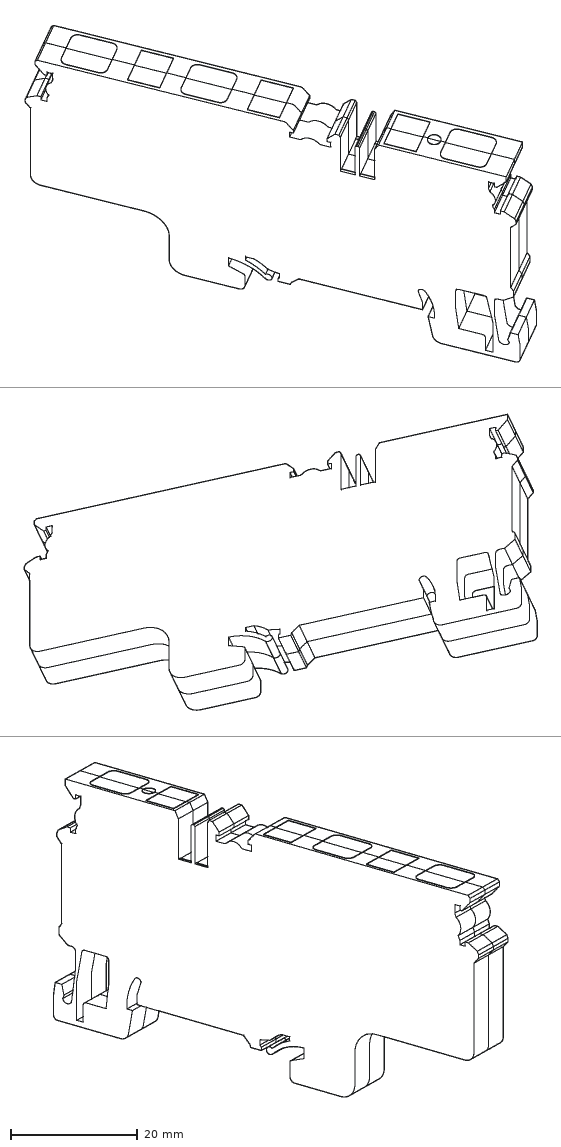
import cadquery as cq
HEIGHT = 42.2
THICKNESS = 8.0
HALF_THICKNESS = THICKNESS / 2
FLANK_X = 40.2
SHELF_Z = 13.5
BELLY_Z = 6.7
LOWER_LEFT_X = -17.0

BROW_X = 39.4
BROW_CORNER = 0.4
BROW_FACE_Z = 41.0
BROW_TIP_Z = 39.2
BROW_TIP_X = 37.45
NOTCH_ROOF_Z = 39.9
NOTCH_WALL_X = 36.45
SADDLE_X = 37.6
SADDLE_Z = 36.3
LEDGE_Z = 34.0
LEDGE_GROOVE_Z = 33.2
LEDGE_GROOVE_X = 38.45
LEDGE_X = 41.1
LEDGE_FACE_TOP_Z = 32.4
LEDGE_FACE_BOTTOM_Z = 31.8
LEDGE_ROOT_Z = 30.7

SHELF_CORNER_RADIUS = 1.7
BUMP_X = 40.7
BUMP_TOP_Z = 16.9
BUMP_FACE_TOP_Z = 16.2
BUMP_FACE_BOTTOM_Z = 14.9
BUMP_HEEL_X = 38.9

MARKER_X = 6.6
MARKER_MOUTH = 4.15
MARKER_LIP = 2.8
MARKER_POCKET = 3.44
MARKER_LIP_TOP = 1.5
MARKER_LIP_BOTTOM = 2.15
MARKER_MOUTH_RADIUS = 0.7
MARKER_FLOOR = 3.2
MARKER_BULGE = 1.6
MARKER_BULGE_HEIGHT = 0.8
MARKER_BULGE_FILLET = 0.6

SLOT_LEFT_X = 11.7
SLOT_RIGHT_X = 17.4
SLOT_FLOOR_Z = 34.0
SLOT_LEFT_BEVEL = (0.25, 0.4)
SLOT_RIGHT_BEVEL = (0.7, 1.25)
BLADE_THICKNESS = 0.75
BLADE_TOP_Z = 40.7
BLADE_TIP_CHAMFER = 0.25

FOOT_BOTTOM_Z = 1.0
FOOT_RIGHT_X = -4.3
FOOT_HEEL_RADIUS = 2.7
FOOT_TOE_RADIUS = 1.0
LOWER_FILLET_RADIUS = 4.2
JAW_X = -7.05
JAW_FLOOR_Z = 5.7
JAW_LIP_Z = 4.6
JAW_LIP_RADIUS = 0.4

TONGUE_ROOT_Z = 7.5
TONGUE_TOP_X = -4.2
TONGUE_TOP_Z = 8.0
TONGUE_TIP_X = -0.4
TONGUE_TIP_Z = 5.4
TONGUE_TIP_RADIUS = 0.7
TONGUE_GAP_ROOF_Z = 8.8
CLAW_LEFT_X = 1.5
CLAW_TIP_X = 1.25
CLAW_BOTTOM_Z = 5.0
CLAW_RIGHT_X = 3.5
CLAW_RUNOUT_X = 4.7

STEM_LEFT_X = 27.4
HEEL_X = 26.35
HEEL_Z = 5.5
SPRING_FOOT_RIGHT_X = 41.75
HOOK_TOP_Z = 6.5
LEG_OUTER_X = 37.45
SLIT_LEFT_X = 25.4
WINDOW_LEFT_X = 31.0
WINDOW_RIGHT_X = 37.2
WINDOW_LEDGE_Z = 4.5
WINDOW_SLOT_X = 35.95
WINDOW_CORNER_RADIUS = 0.6

RECESS_DEPTH = 0.1
RECESS_WIDTH = 6.8
TERMINAL_PITCH = 20.05
OUTER_TERMINAL_X = 31.7
TOOL_OFFSET = 10.3
WIRE_LENGTH = 7.7
WIRE_CORNER_RADIUS = 1.2
TOOL_LENGTH = 5.4
TEST_MARK_X = 26.0
TEST_MARK_DIAMETER = 2.15
SLOT_RECESS_WIDTH = 7.0


def profile():
    """A sketch plane in XZ, at the outer face of the full thickness."""
    return cq.Workplane("XZ", origin=(0, HALF_THICKNESS, 0))


def prism(points):
    """A closed polygon in XZ, extruded through the full thickness."""
    return profile().polyline(points).close().extrude(THICKNESS)


def slab(x_min, x_max, z_min, z_max):
    """A rectangle in XZ, extruded through the full thickness."""
    return prism([(x_min, z_min), (x_max, z_min), (x_max, z_max), (x_min, z_max)])


def near(x, z, reach=0.2):
    """Selects the edge along Y that passes through (x, z)."""
    return cq.selectors.BoxSelector(
        (x - reach, -THICKNESS, z - reach), (x + reach, THICKNESS, z + reach)
    )


def end_half():
    """Right half of the main block, with the latch profile at its end."""
    ledge_shoulder = (LEDGE_X - 0.25, LEDGE_FACE_TOP_Z + 0.6)
    ledge_crest_x = LEDGE_GROOVE_X + 0.7
    groove_wall_x = LEDGE_GROOVE_X - 1.0
    saddle_bottom = (groove_wall_x - 0.3, LEDGE_Z + 0.75)
    saddle_top = (NOTCH_WALL_X + 0.25, NOTCH_ROOF_Z - 2.15)
    notch_wall_bottom_z = NOTCH_ROOF_Z - 1.5
    brow_tip_flat_x = BROW_TIP_X + 0.4
    return (
        profile()
        .moveTo(0, SHELF_Z)
        .lineTo(FLANK_X, SHELF_Z)
        .lineTo(FLANK_X, LEDGE_ROOT_Z)
        .lineTo(LEDGE_X, LEDGE_FACE_BOTTOM_Z)
        .lineTo(LEDGE_X, LEDGE_FACE_TOP_Z)
        .lineTo(*ledge_shoulder)
        .lineTo(ledge_crest_x, LEDGE_Z)
        .lineTo(LEDGE_GROOVE_X, LEDGE_Z)
        .lineTo(LEDGE_GROOVE_X, LEDGE_GROOVE_Z)
        .lineTo(groove_wall_x, LEDGE_GROOVE_Z)
        .lineTo(groove_wall_x, LEDGE_Z)
        .lineTo(*saddle_bottom)
        .threePointArc((SADDLE_X, SADDLE_Z), saddle_top)
        .lineTo(NOTCH_WALL_X, notch_wall_bottom_z)
        .lineTo(NOTCH_WALL_X, NOTCH_ROOF_Z)
        .lineTo(BROW_TIP_X, NOTCH_ROOF_Z)
        .lineTo(BROW_TIP_X, BROW_TIP_Z)
        .lineTo(brow_tip_flat_x, BROW_TIP_Z)
        .lineTo(BROW_X, BROW_FACE_Z)
        .lineTo(BROW_X, HEIGHT)
        .lineTo(0, HEIGHT)
        .close()
        .extrude(THICKNESS)
    )


def main_block():
    """Both ends, with softened corners at the left and a bump at the right lower corner."""
    right = end_half()
    block = right.union(right.mirror("YZ"))
    block = block.edges(near(-FLANK_X, SHELF_Z)).fillet(SHELF_CORNER_RADIUS)
    block = block.edges(near(-BROW_X, HEIGHT)).chamfer(BROW_CORNER)
    bump = prism([
        (BUMP_HEEL_X, BUMP_TOP_Z),
        (BUMP_HEEL_X, SHELF_Z),
        (BUMP_X, BUMP_FACE_BOTTOM_Z),
        (BUMP_X, BUMP_FACE_TOP_Z),
        (FLANK_X, BUMP_TOP_Z),
    ])
    corner = slab(BUMP_HEEL_X, FLANK_X, SHELF_Z, BUMP_TOP_Z)
    return block.cut(corner).union(bump)


def marker_latch():
    """Undercut notch in the top face, with a rounded rib on its floor."""
    floor_z = HEIGHT - MARKER_FLOOR
    lip_bottom_z = HEIGHT - MARKER_LIP_BOTTOM
    lip_top_z = HEIGHT - MARKER_LIP_TOP
    notch = (
        profile()
        .moveTo(MARKER_X - MARKER_MOUTH, HEIGHT)
        .lineTo(MARKER_X - MARKER_LIP, lip_top_z)
        .lineTo(MARKER_X - MARKER_LIP, lip_bottom_z)
        .lineTo(MARKER_X - MARKER_POCKET, lip_bottom_z)
        .lineTo(MARKER_X - MARKER_POCKET, floor_z)
        .lineTo(MARKER_X - MARKER_BULGE, floor_z)
        .threePointArc(
            (MARKER_X, floor_z + MARKER_BULGE_HEIGHT), (MARKER_X + MARKER_BULGE, floor_z)
        )
        .lineTo(MARKER_X + MARKER_POCKET, floor_z)
        .lineTo(MARKER_X + MARKER_POCKET, lip_bottom_z)
        .lineTo(MARKER_X + MARKER_LIP, lip_bottom_z)
        .lineTo(MARKER_X + MARKER_LIP, lip_top_z)
        .lineTo(MARKER_X + MARKER_MOUTH, HEIGHT)
        .close()
        .extrude(THICKNESS)
    )
    for x in (MARKER_X - MARKER_BULGE, MARKER_X + MARKER_BULGE):
        notch = notch.edges(near(x, floor_z)).fillet(MARKER_BULGE_FILLET)
    return notch


def contact_slot():
    """Slot in the top face, bevelled at its mouth."""
    left_run, left_drop = SLOT_LEFT_BEVEL
    right_run, right_drop = SLOT_RIGHT_BEVEL
    return prism([
        (SLOT_LEFT_X - left_run, HEIGHT),
        (SLOT_LEFT_X, HEIGHT - left_drop),
        (SLOT_LEFT_X, SLOT_FLOOR_Z),
        (SLOT_RIGHT_X, SLOT_FLOOR_Z),
        (SLOT_RIGHT_X, HEIGHT - right_drop),
        (SLOT_RIGHT_X + right_run, HEIGHT),
    ])


def contact_blade():
    """Thin wall in the middle of the contact slot."""
    middle = (SLOT_LEFT_X + SLOT_RIGHT_X) / 2
    half = BLADE_THICKNESS / 2
    blade = slab(middle - half, middle + half, SLOT_FLOOR_Z, BLADE_TOP_Z)
    return blade.edges(">Z and |Y").chamfer(BLADE_TIP_CHAMFER)


def lower_block():
    """Block under the shelf together with the fixed foot and its jaw."""
    block = slab(LOWER_LEFT_X, STEM_LEFT_X, BELLY_Z, SHELF_Z)
    foot = slab(LOWER_LEFT_X, FOOT_RIGHT_X, FOOT_BOTTOM_Z, SHELF_Z)
    foot = foot.edges(near(LOWER_LEFT_X, FOOT_BOTTOM_Z)).fillet(FOOT_HEEL_RADIUS)
    foot = foot.edges(near(FOOT_RIGHT_X, FOOT_BOTTOM_Z)).fillet(FOOT_TOE_RADIUS)
    gap_mouth = (CLAW_LEFT_X, BELLY_Z + 0.1)
    gap_bend = (-0.5, 7.2)
    gap_arc_middle = (-1.6, 8.1)
    gap_arc_end = (-2.8, TONGUE_GAP_ROOF_Z)
    jaw = (
        profile()
        .moveTo(JAW_X, TONGUE_ROOT_Z)
        .lineTo(JAW_X, JAW_FLOOR_Z)
        .lineTo(FOOT_RIGHT_X, JAW_LIP_Z)
        .lineTo(CLAW_LEFT_X, JAW_LIP_Z)
        .lineTo(*gap_mouth)
        .lineTo(*gap_bend)
        .threePointArc(gap_arc_middle, gap_arc_end)
        .lineTo(TONGUE_TOP_X, TONGUE_GAP_ROOF_Z)
        .lineTo(TONGUE_TOP_X, TONGUE_TOP_Z)
        .close()
        .extrude(THICKNESS)
    )
    lower = block.union(foot).cut(jaw)
    return lower.edges(near(FOOT_RIGHT_X, JAW_LIP_Z)).fillet(JAW_LIP_RADIUS)


def tongue():
    """Curved spring tongue with a round tip, hanging into the jaw."""
    under_middle = (-3.15, 6.55)
    under_end = (TONGUE_TIP_X - 0.5, TONGUE_TIP_Z - 0.5)
    over_start = (TONGUE_TIP_X - 0.4, TONGUE_TIP_Z + 0.5)
    over_middle = (-2.4, 7.1)
    strip = (
        profile()
        .moveTo(JAW_X, TONGUE_ROOT_Z)
        .threePointArc(under_middle, under_end)
        .lineTo(TONGUE_TIP_X, TONGUE_TIP_Z)
        .lineTo(*over_start)
        .threePointArc(over_middle, (TONGUE_TOP_X, TONGUE_TOP_Z))
        .close()
        .extrude(THICKNESS)
    )
    tip = profile().center(TONGUE_TIP_X, TONGUE_TIP_Z).circle(TONGUE_TIP_RADIUS).extrude(THICKNESS)
    return strip.union(tip)


def claw():
    """Small claw under the belly, beside the tip of the tongue."""
    neck_z = CLAW_BOTTOM_Z + 0.9
    tip_z = CLAW_BOTTOM_Z + 0.6
    heel_z = CLAW_BOTTOM_Z + 0.5
    sole_x = CLAW_RIGHT_X - 0.2
    return prism([
        (CLAW_LEFT_X, BELLY_Z),
        (CLAW_LEFT_X, neck_z),
        (CLAW_TIP_X, tip_z),
        (CLAW_TIP_X, CLAW_BOTTOM_Z),
        (sole_x, CLAW_BOTTOM_Z),
        (CLAW_RIGHT_X, heel_z),
        (CLAW_RUNOUT_X, BELLY_Z),
    ])


def spring_foot():
    """Stem, heel, sole, hook and thin leg of the spring foot."""
    heel_arc = [(HEEL_X + 0.75, 1.3), (HEEL_X + 1.25, 0.4), (HEEL_X + 2.15, 0)]
    toe_arc = [
        (SPRING_FOOT_RIGHT_X - 0.75, 0),
        (SPRING_FOOT_RIGHT_X - 0.25, 0.25),
        (SPRING_FOOT_RIGHT_X, 0.75),
    ]
    hook_back_z = HOOK_TOP_Z - 2.3
    hook_top_right = (SPRING_FOOT_RIGHT_X - 0.3, HOOK_TOP_Z)
    hook_top_left = (SPRING_FOOT_RIGHT_X - 1.65, HOOK_TOP_Z)
    hook_nose = (39.7, 4.7)
    groove_right, groove_bottom, groove_left = (39.9, 4.1), (39.1, 3.4), (38.2, 4.1)
    leg_bend_z = 9.8
    leg_arc = [
        (LEG_OUTER_X, SHELF_Z - 0.7),
        (LEG_OUTER_X + 0.2, SHELF_Z - 0.25),
        (LEG_OUTER_X + 0.7, SHELF_Z),
    ]
    return (
        profile()
        .moveTo(STEM_LEFT_X, SHELF_Z)
        .lineTo(STEM_LEFT_X, HEEL_Z)
        .lineTo(HEEL_X, HEEL_Z)
        .lineTo(*heel_arc[0])
        .threePointArc(*heel_arc[1:])
        .lineTo(*toe_arc[0])
        .threePointArc(*toe_arc[1:])
        .lineTo(SPRING_FOOT_RIGHT_X, hook_back_z)
        .lineTo(*hook_top_right)
        .lineTo(*hook_top_left)
        .lineTo(*hook_nose)
        .lineTo(*groove_right)
        .threePointArc(groove_bottom, groove_left)
        .lineTo(LEG_OUTER_X, leg_bend_z)
        .lineTo(*leg_arc[0])
        .threePointArc(*leg_arc[1:])
        .close()
        .extrude(THICKNESS)
    )


def slit():
    """Curved slit between the lower block and the stem of the spring foot."""
    straight_end_z = 8.45
    crown_left, crown_top, crown_right = (24.7, 10.8), (25.3, 11.35), (25.9, 11.0)
    stem_side_middle = (26.9, 9.0)
    return (
        profile()
        .moveTo(STEM_LEFT_X, BELLY_Z)
        .lineTo(SLIT_LEFT_X, BELLY_Z)
        .lineTo(SLIT_LEFT_X, straight_end_z)
        .lineTo(*crown_left)
        .threePointArc(crown_top, crown_right)
        .threePointArc(stem_side_middle, (STEM_LEFT_X, BELLY_Z))
        .close()
        .extrude(THICKNESS)
    )


def foot_window():
    """Opening inside the spring foot, with a narrow slot running down from it."""
    left_bend_z = 8.9
    right_bend_z = 7.8
    ledge_left_x = WINDOW_LEFT_X + 0.5
    top_right_x = WINDOW_RIGHT_X - 1.1
    window = prism([
        (WINDOW_LEFT_X, SHELF_Z),
        (WINDOW_LEFT_X, left_bend_z),
        (ledge_left_x, WINDOW_LEDGE_Z),
        (WINDOW_SLOT_X, WINDOW_LEDGE_Z),
        (WINDOW_SLOT_X, FOOT_BOTTOM_Z),
        (WINDOW_RIGHT_X, FOOT_BOTTOM_Z),
        (WINDOW_RIGHT_X, right_bend_z),
        (top_right_x, SHELF_Z),
    ])
    rounded = [(WINDOW_LEFT_X, SHELF_Z), (top_right_x, SHELF_Z), (WINDOW_SLOT_X, WINDOW_LEDGE_Z)]
    for x, z in rounded:
        window = window.edges(near(x, z)).fillet(WINDOW_CORNER_RADIUS)
    return window


def top_recess(x, length):
    """Rectangular recess in the top face, centred at x."""
    return cq.Workplane("XY", origin=(x, 0, HEIGHT)).rect(length, RECESS_WIDTH).extrude(-RECESS_DEPTH)


def cut_recesses(body):
    """Cuts the wire, tool and test marks, and the recess in the slot floor."""
    terminals = [
        (-OUTER_TERMINAL_X, TOOL_OFFSET),
        (-OUTER_TERMINAL_X + TERMINAL_PITCH, TOOL_OFFSET),
        (OUTER_TERMINAL_X, -TOOL_OFFSET),
    ]
    for wire_x, tool_offset in terminals:
        body = body.cut(top_recess(wire_x, WIRE_LENGTH).edges("|Z").fillet(WIRE_CORNER_RADIUS))
        body = body.cut(top_recess(wire_x + tool_offset, TOOL_LENGTH))
    test_mark = (
        cq.Workplane("XY", origin=(TEST_MARK_X, 0, HEIGHT))
        .circle(TEST_MARK_DIAMETER / 2)
        .extrude(-RECESS_DEPTH)
    )
    slot_recess = (
        cq.Workplane("XY", origin=((SLOT_LEFT_X + SLOT_RIGHT_X) / 2, 0, SLOT_FLOOR_Z))
        .rect(SLOT_RIGHT_X - SLOT_LEFT_X, SLOT_RECESS_WIDTH)
        .extrude(-RECESS_DEPTH)
    )
    return body.cut(test_mark).cut(slot_recess)


def full_housing():
    """The housing before it is parted into its two shells."""
    body = main_block().union(lower_block())
    body = body.edges(near(LOWER_LEFT_X, SHELF_Z)).fillet(LOWER_FILLET_RADIUS)
    body = body.union(spring_foot()).cut(slit()).cut(foot_window())
    body = body.union(tongue()).union(claw())
    body = body.cut(marker_latch()).cut(contact_slot())
    body = body.edges(near(MARKER_X - MARKER_MOUTH, HEIGHT)).fillet(MARKER_MOUTH_RADIUS)
    return cut_recesses(body).union(contact_blade())


def shell(housing, side):
    """One half of the housing: side -1 lies at negative Y, side +1 at positive Y."""
    room = cq.Workplane("XY").box(3 * FLANK_X, HALF_THICKNESS, 3 * HEIGHT)
    return housing.intersect(room.translate((0, side * HALF_THICKNESS / 2, 0)))


housing = full_housing()
front_shell = shell(housing, -1)
rear_shell = shell(housing, 1)

result = cq.Compound.makeCompound([front_shell.val(), rear_shell.val()])